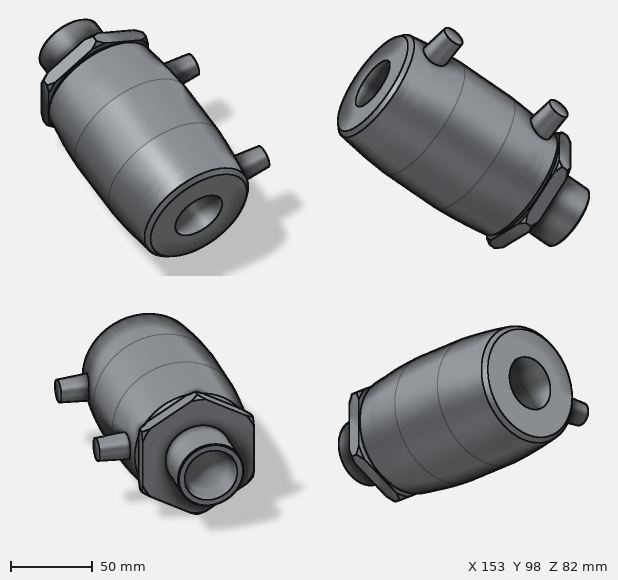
import cadquery as cq
import math

total_length = 153.0
bore_diameter = 33.5

spigot_diameter = 41.9
spigot_length = 26.8
spigot_chamfer = 0.6

hex_corner_diameter = 82.0
hex_thickness = 8.9
hex_chamfer = 2.5

barrel_diameter = 82.0
barrel_end_diameter = 74.4
barrel_start = spigot_length + hex_thickness
barrel_chamfer = 2.8
barrel_middle_length = 39.2
barrel_bulge = 0.5

post_positions = (53.2, 135.4)
post_top = 57.0
post_base = 33.7
post_top_diameter = 14.2
post_taper_angle = 4.0


def make_spigot():
    spigot = cq.Workplane("YZ").circle(spigot_diameter / 2).extrude(barrel_start)
    return spigot.faces("<X").chamfer(spigot_chamfer)


def make_hex_collar():
    """Hexagonal plate with both faces' corners turned off at 45 degrees."""
    plate = (
        cq.Workplane("YZ", origin=(spigot_length, 0, 0))
        .transformed(rotate=(0, 0, 90))
        .polygon(6, hex_corner_diameter)
        .extrude(hex_thickness)
    )
    turned_blank = (
        cq.Workplane("YZ", origin=(spigot_length, 0, 0))
        .circle(hex_corner_diameter / 2)
        .extrude(hex_thickness)
        .faces("<X or >X")
        .chamfer(hex_chamfer)
    )
    return plate.intersect(turned_blank)


def make_barrel():
    """Revolved barrel: chamfered ends, arched shoulders, cylindrical middle."""
    radius = barrel_diameter / 2
    end_radius = barrel_end_diameter / 2
    face_radius = end_radius - barrel_chamfer
    shoulder_start = barrel_start + barrel_chamfer
    shoulder_end = total_length - barrel_chamfer
    center = (barrel_start + total_length) / 2
    middle_start = center - barrel_middle_length / 2
    middle_end = center + barrel_middle_length / 2
    arc_radius = (radius + end_radius) / 2 + barrel_bulge
    return (
        cq.Workplane("XY")
        .moveTo(barrel_start, 0)
        .lineTo(barrel_start, face_radius)
        .lineTo(shoulder_start, end_radius)
        .threePointArc(((shoulder_start + middle_start) / 2, arc_radius), (middle_start, radius))
        .lineTo(middle_end, radius)
        .threePointArc(((middle_end + shoulder_end) / 2, arc_radius), (shoulder_end, end_radius))
        .lineTo(total_length, face_radius)
        .lineTo(total_length, 0)
        .close()
        .revolve(360, (0, 0, 0), (1, 0, 0))
    )


def make_post(x):
    """Round post that narrows towards its outer end."""
    height = post_top - post_base
    top_radius = post_top_diameter / 2
    base_radius = top_radius + height * math.tan(math.radians(post_taper_angle))
    cone = cq.Solid.makeCone(
        base_radius, top_radius, height, pnt=cq.Vector(x, post_base, 0), dir=cq.Vector(0, 1, 0)
    )
    return cq.Workplane(obj=cone)


result = make_spigot().union(make_hex_collar()).union(make_barrel())
for post_x in post_positions:
    result = result.union(make_post(post_x))

bore = cq.Workplane("YZ").circle(bore_diameter / 2).extrude(total_length)
result = result.cut(bore)